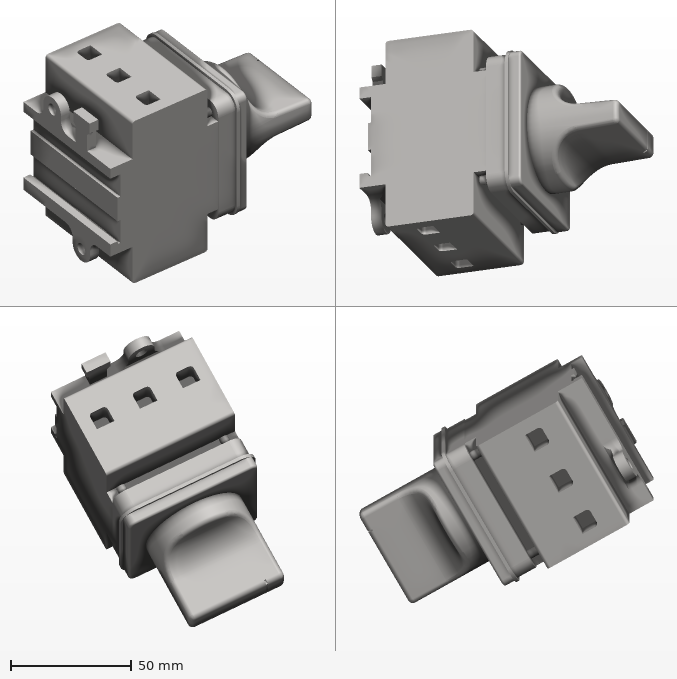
import cadquery as cq
import math


width = 60.0
core_half_height = 22.5
core_front = 56.2
block_height = 83.0
block_back = 11.5
block_front = 50.7
block_round = 1.5

seat_depth = 5.2
upper_rail_z = 17.4
ridge_half_height = 6.0
ridge_y = 3.8
lower_rail_z = -16.2
lip_base_z = -17.6
lip_tip_y = 3.6
lip_base_y = 4.2

tab_thickness = 4.6
tab_x = 10.0
ear_centre_z = 29.9
ear_radius = 6.0
ear_root_radius = 4.9
ear_hole_radius = 2.7
gusset_y = 6.7
gusset_height = 1.1
clip_stem_width = 8.0
clip_head_width = 11.2
clip_shoulder_z = 30.8
clip_head_z = 32.3
clip_top_z = 37.4

pocket_pitch = 20.1
pocket_width = 8.2
pocket_back = 23.0
pocket_front = 30.6
pocket_depth = 11.2
pocket_round = 1.7

gasket_back = 65.0
gasket_front = 66.5
bezel_front = 71.5
flange_width = 60.2
base_corner = 5.9
bezel_corner = 3.1
bezel_round = 1.0
gasket_width = 63.0
gasket_corner = base_corner + (gasket_width - flange_width) / 2
screw_offset = 24.0
screw_radius = 2.0
screw_end = 51.7

knob_radius = 22.5
knob_tip = 111.7
knob_shoulder = 81.9
grip_tip_half = 5.4
grip_root_half = 6.0
grip_root_y = 93.5
knob_round = 2.1
marker_x = -13.7
marker_width = 0.7
marker_depth = 0.3
marker_edge_depth = 1.0


def box(x_range, y_range, z_range):
    """Block between the given limits on each axis."""
    (x0, x1), (y0, y1), (z0, z1) = x_range, y_range, z_range
    return cq.Workplane("XY").box(x1 - x0, y1 - y0, z1 - z0, centered=False).translate((x0, y0, z0))


def facing_front(y):
    """Workplane at the given y whose local axes are X and Z; it extrudes along -Y."""
    return cq.Workplane("XZ", origin=(0, y, 0))


def square_plate(size, corner, back, front):
    """Square plate with rounded corners, lying between two y positions."""
    return facing_front(front).rect(size, size).extrude(front - back).edges("|Y").fillet(corner)


def cylinder(x, z, radius, back, front):
    """Cylinder along Y."""
    return facing_front(front).center(x, z).circle(radius).extrude(front - back)


def make_core():
    """Core of the housing, with the rail seat cut across its back."""
    profile = [
        (core_front, core_half_height),
        (0, core_half_height),
        (0, upper_rail_z),
        (seat_depth, upper_rail_z),
        (seat_depth, ridge_half_height),
        (ridge_y, ridge_half_height),
        (ridge_y, -ridge_half_height),
        (seat_depth, -ridge_half_height),
        (seat_depth, lip_base_z),
        (lip_base_y, lip_base_z),
        (lip_tip_y, lower_rail_z),
        (0, lower_rail_z),
        (0, -core_half_height),
        (core_front, -core_half_height),
    ]
    return cq.Workplane("YZ").polyline(profile).close().extrude(width / 2, both=True)


def make_pocket():
    """Terminal pocket sunk into the upper face of the block, at x = 0."""
    half = pocket_width / 2
    top = block_height / 2
    pocket = box((-half, half), (pocket_back, pocket_front), (top - pocket_depth, top))
    return pocket.edges("|Z and <Y").fillet(pocket_round)


def make_block():
    """Terminal block with pockets on both of its wide faces."""
    half_width = width / 2
    half_height = block_height / 2
    block = box((-half_width, half_width), (block_back, block_front), (-half_height, half_height))
    block = block.edges("|X").fillet(block_round)
    upper_pocket = make_pocket()
    lower_pocket = upper_pocket.mirror("XY")
    for x in (-pocket_pitch, 0, pocket_pitch):
        block = block.cut(upper_pocket.translate((x, 0, 0)))
        block = block.cut(lower_pocket.translate((x, 0, 0)))
    return block


def make_upper_ear():
    """Drilled ear that flares into the core and has a sloped gusset at its root."""
    root_half = ear_radius + ear_root_radius
    root_top = core_half_height + ear_root_radius
    diagonal = ear_root_radius * (1 - math.sqrt(0.5))
    blank = (
        facing_front(gusset_y)
        .moveTo(-root_half, core_half_height)
        .threePointArc((-ear_radius - diagonal, core_half_height + diagonal), (-ear_radius, root_top))
        .lineTo(-ear_radius, ear_centre_z)
        .threePointArc((0, ear_centre_z + ear_radius), (ear_radius, ear_centre_z))
        .lineTo(ear_radius, root_top)
        .threePointArc((ear_radius + diagonal, core_half_height + diagonal), (root_half, core_half_height))
        .lineTo(root_half, upper_rail_z)
        .lineTo(-root_half, upper_rail_z)
        .close()
        .extrude(gusset_y)
    )
    side_profile = [
        (0, upper_rail_z),
        (gusset_y, upper_rail_z),
        (gusset_y, core_half_height),
        (tab_thickness, core_half_height + gusset_height),
        (tab_thickness, ear_centre_z + ear_radius),
        (0, ear_centre_z + ear_radius),
    ]
    side = cq.Workplane("YZ").polyline(side_profile).close().extrude(root_half, both=True)
    ear = blank.intersect(side)
    ear = ear.cut(cylinder(0, ear_centre_z, ear_hole_radius, 0, gusset_y))
    return ear.translate((-tab_x, 0, 0))


def make_clip():
    """T-shaped clip standing on the upper rail."""
    stem = clip_stem_width / 2
    head = clip_head_width / 2
    outline = [
        (-stem, upper_rail_z),
        (-stem, clip_shoulder_z),
        (-head, clip_head_z),
        (-head, clip_top_z),
        (head, clip_top_z),
        (head, clip_head_z),
        (stem, clip_shoulder_z),
        (stem, upper_rail_z),
    ]
    clip = facing_front(tab_thickness).polyline(outline).close().extrude(tab_thickness)
    return clip.translate((tab_x, 0, 0))


def make_flange():
    """Square flange with its gasket, bezel and four screw ends at the back."""
    flange = square_plate(flange_width, base_corner, core_front, gasket_back)
    flange = flange.union(square_plate(gasket_width, gasket_corner, gasket_back, gasket_front))
    bezel = square_plate(flange_width, bezel_corner, gasket_front, bezel_front)
    flange = flange.union(bezel.faces(">Y").edges().fillet(bezel_round))
    for x in (-screw_offset, screw_offset):
        for z in (-screw_offset, screw_offset):
            flange = flange.union(cylinder(x, z, screw_radius, screw_end, core_front))
    return flange


def make_marker():
    """Fine groove that runs over the tip of the knob and down both rounded edges."""
    x_range = (marker_x - marker_width / 2, marker_x + marker_width / 2)
    y_start = knob_tip - knob_round
    floor_half = grip_tip_half - marker_edge_depth
    slot = box(x_range, (y_start, knob_tip), (-grip_root_half, grip_root_half))
    floor = box(x_range, (y_start, knob_tip - marker_depth), (-floor_half, floor_half))
    return slot.cut(floor)


def make_knob():
    """Round knob whose sides sweep in to a slightly tapered flat grip."""
    taper = math.atan2(grip_root_half - grip_tip_half, knob_tip - grip_root_y)
    sweep_radius = (grip_root_y - knob_shoulder) / (1 - math.sin(taper))
    sweep_y = knob_shoulder + sweep_radius
    sweep_z = grip_root_half + sweep_radius * math.cos(taper)
    middle = (math.pi + (1.5 * math.pi - taper)) / 2
    sweep_middle = (sweep_y + sweep_radius * math.cos(middle), sweep_z + sweep_radius * math.sin(middle))
    outer = 2 * knob_radius
    upper_half = (
        cq.Workplane("YZ")
        .moveTo(bezel_front, 0)
        .lineTo(knob_tip, 0)
        .lineTo(knob_tip, grip_tip_half)
        .lineTo(grip_root_y, grip_root_half)
        .threePointArc(sweep_middle, (knob_shoulder, sweep_z))
        .lineTo(knob_shoulder, outer)
        .lineTo(bezel_front, outer)
        .close()
        .extrude(outer, both=True)
    )
    grip = upper_half.union(upper_half.mirror("XY"))
    knob = grip.intersect(cylinder(0, 0, knob_radius, bezel_front, knob_tip))
    knob = knob.edges("(not (|X or |Y or <Y)) or >Y").fillet(knob_round)
    return knob.cut(make_marker())


upper_ear = make_upper_ear()
lower_ear = upper_ear.rotate((0, 0, 0), (0, 1, 0), 180)

result = make_core()
for feature in (make_block(), upper_ear, lower_ear, make_clip(), make_flange(), make_knob()):
    result = result.union(feature)